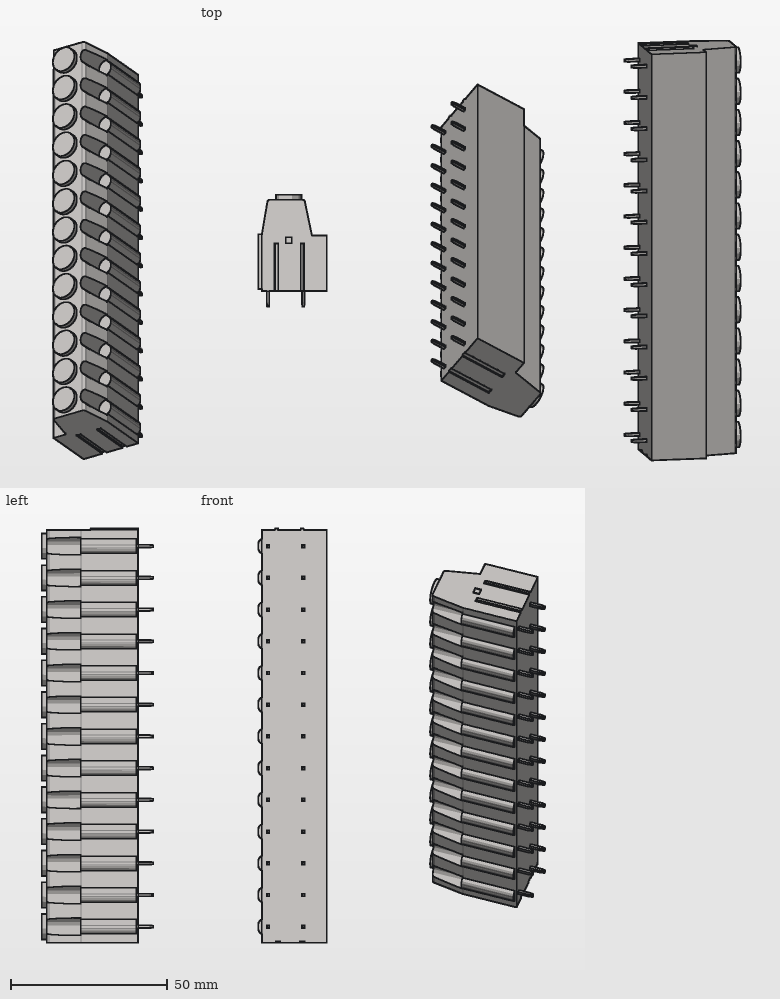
import cadquery as cq

pole_count = 13
total_length = 132.8
body_length = 132.3
end_margin = 5.2
pole_pitch = (body_length - 2 * end_margin) / (pole_count - 1)

ridge_height = 1.2
body_left = ridge_height
body_right = 22.0
pin_length = 4.9
body_back = pin_length
body_front = 34.3
left_shoulder_y = 23.2
right_shoulder_x = 17.3
right_shoulder_y = 22.8
nose_left = 3.0
nose_right = 14.9
nose_corner_radius = 0.9

cap_radius = 4.1
cap_height = 1.6
cap_x = 9.8

ridge_width = 4.6
ridge_flat = 0.9
ridge_gap = 0.7
ridge_bulge = 0.3

hollow_radius = 2.8
hollow_x = 1.6

pin_size = 0.9
pin_columns = (3.2, 14.5)
pin_taper_length = 1.2
pin_tip_size = 0.7

rib_columns = (5.8, 14.2)
rib_width = 1.2
rib_lean = 0.3
rib_height = total_length - body_length
rib_end_y = 20.3

groove_columns = (6.4, 14.1)
groove_width = 1.6

recess_size = 2.0
recess_depth = 0.3
recess_x = 9.8
recess_y = 21.3

pole_heights = [end_margin + i * pole_pitch for i in range(pole_count)]


def housing():
    outline = [
        (body_left, body_back),
        (body_right, body_back),
        (body_right, right_shoulder_y),
        (right_shoulder_x, right_shoulder_y),
        (nose_right, body_front),
        (nose_left, body_front),
        (body_left, left_shoulder_y),
    ]
    block = cq.Workplane("XY").polyline(outline).close().extrude(body_length)
    return block.faces(">Y").edges("|Z").fillet(nose_corner_radius)


def cap(z):
    return (
        cq.Workplane("XZ", origin=(cap_x, body_front, z))
        .circle(cap_radius)
        .extrude(-cap_height)
    )


def ridge(z):
    half_width = ridge_width / 2
    half_flat = ridge_flat / 2
    flank_x = -ridge_height / 2 - ridge_bulge
    flank_z = (half_width + half_flat) / 2 + ridge_bulge
    return (
        cq.Workplane("XZ", origin=(body_left, body_back + ridge_gap, z))
        .moveTo(0, -half_width)
        .threePointArc((flank_x, -flank_z), (-ridge_height, -half_flat))
        .lineTo(-ridge_height, half_flat)
        .threePointArc((flank_x, flank_z), (0, half_width))
        .close()
        .extrude(-(left_shoulder_y - body_back - ridge_gap))
    )


def hollow(z):
    return (
        cq.Workplane("XZ", origin=(hollow_x, left_shoulder_y, z))
        .circle(hollow_radius)
        .extrude(-(body_front - left_shoulder_y))
    )


def pin(x, z):
    straight_length = pin_length - pin_taper_length
    straight = (
        cq.Workplane("XZ", origin=(x, body_back, z))
        .rect(pin_size, pin_size)
        .extrude(straight_length)
    )
    tip = (
        cq.Workplane("XZ", origin=(x, pin_taper_length, z))
        .rect(pin_size, pin_size)
        .workplane(offset=pin_taper_length)
        .rect(pin_tip_size, pin_tip_size)
        .loft()
    )
    return straight.union(tip)


def rib(x, outer_side):
    """Rib whose flank on the outer side (-1 left, +1 right) leans inwards."""
    foot_length = rib_end_y - body_back
    top_x = x - outer_side * rib_lean / 2
    return (
        cq.Workplane("XY", origin=(x, body_back + foot_length / 2, body_length))
        .rect(rib_width, foot_length)
        .workplane(offset=rib_height)
        .center(top_x - x, -rib_lean / 2)
        .rect(rib_width - rib_lean, foot_length - rib_lean)
        .loft()
    )


def groove(x):
    return (
        cq.Workplane("XY")
        .box(groove_width, rib_end_y - body_back, rib_height, centered=(True, False, False))
        .translate((x, body_back, 0))
    )


def recess():
    return (
        cq.Workplane("XY", origin=(recess_x, recess_y, body_length))
        .rect(recess_size, recess_size)
        .extrude(-recess_depth)
    )


result = housing().cut(recess())
for x, outer_side in zip(rib_columns, (-1, 1)):
    result = result.union(rib(x, outer_side))
for x in groove_columns:
    result = result.cut(groove(x))
for z in pole_heights:
    result = result.cut(hollow(z)).union(cap(z)).union(ridge(z))
    for x in pin_columns:
        result = result.union(pin(x, z))